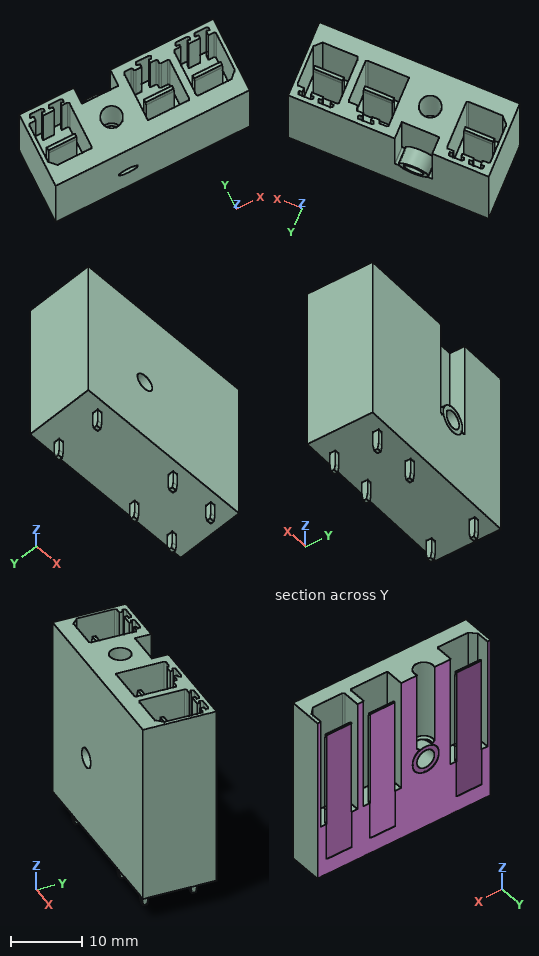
import cadquery as cq

LENGTH = 30.45
DEPTH = 11.4
TOTAL_HEIGHT = 31.8
PIN_LENGTH = 3.5
MID_Y = DEPTH / 2
FRONT_WALL = 2.55

PITCH = LENGTH / 4
LEFT_X, SLEEVE_X, MIDDLE_X, RIGHT_X = [PITCH * (station + 0.5) for station in range(4)]

CAVITY_FLOOR_Z = 12.72
CAVITY_DEPTH = TOTAL_HEIGHT - CAVITY_FLOOR_Z
OUTER_CAVITY_HALF_WIDTH = 3.2
MIDDLE_CAVITY_HALF_WIDTH = 3.28
CAVITY_CORNER_CHAMFER = 1.0
CAVITY_CORNER_RADIUS = 0.25
OUTER_BACK_Y = 9.57
KEY_LAND_Y = 9.73
INNER_BACK_Y = 9.85
MIDDLE_STEP_Y = 9.0
MIDDLE_LEFT_STEP_X = -1.88
MIDDLE_RIGHT_STEP_X = 1.78

KEY_UNDERSIDE_Y = 10.2
KEY_TOP_Y = 10.72
OUTER_FLANGE_RADIUS = 0.3
MIDDLE_FLANGE_RADIUS = 0.22
KEY_OFFSET = 1.5
OUTER_NECK_WIDTH = 1.25
OUTER_FLANGE_WIDTH = 2.23
MIDDLE_NECK_WIDTH = 1.35
MIDDLE_FLANGE_WIDTH = 2.4

SLEEVE_Z = 15.85
SLEEVE_DIAMETER = 4.55
SLEEVE_BORE = 3.0
SLEEVE_CREST_Z = SLEEVE_Z + SLEEVE_DIAMETER / 2
NOTCH_WIDTH = 5.7
NOTCH_DEPTH = 2.58
NOTCH_GROOVE_WIDTH = 0.65
NOTCH_GROOVE_DROP = 0.48

ACCESS_Y = 5.25
ACCESS_DIAMETER = 3.18
ACCESS_END_DIAMETER = 2.5
ACCESS_CONE_HEIGHT = (ACCESS_DIAMETER - ACCESS_END_DIAMETER) / 2

SHEET = 0.8
PIN_ROW_SPACING = 7.5
PIN_WIDTH = 1.0
PIN_TIP_WIDTH = 0.6
PIN_TAPER_HEIGHT = 1.0
CROSSBAR_BOTTOM_Z = 6.35
CROSSBAR_TOP_Z = 10.18
BLADE_WIDTH = 4.4
BLADE_TOP_Z = 28.85
BLADE_BEVEL = 0.15
BLADE_BEVEL_HEIGHT = 1.0
ARM_FILLET = 0.75


def box(x_min, x_max, y_min, y_max, z_min, z_max):
    """Axis-aligned block between the given limits."""
    size = (x_max - x_min, y_max - y_min, z_max - z_min)
    return cq.Workplane("XY").box(*size, centered=False).translate((x_min, y_min, z_min))


def cylinder_along_y(diameter, y_start, y_end):
    """Cylinder on the sleeve axis."""
    plane = cq.Workplane("XZ", origin=(SLEEVE_X, y_start, SLEEVE_Z))
    return plane.circle(diameter / 2).extrude(y_start - y_end)



def cavity_prism(outline):
    """Prism from the cavity floor to the top of the housing."""
    plane = cq.Workplane("XY", origin=(0, 0, CAVITY_FLOOR_Z))
    return plane.polyline(outline).close().extrude(CAVITY_DEPTH)


def vertical_edge_at(corner):
    """Selector of the cavity edge that rises from an outline corner."""
    return cq.selectors.NearestToPointSelector((*corner, CAVITY_FLOOR_Z + CAVITY_DEPTH / 2))


def key_neck(center_x, width):
    """Neck that joins a keyway to its cavity."""
    half = width / 2
    return box(center_x - half, center_x + half, MID_Y, KEY_TOP_Y, CAVITY_FLOOR_Z, TOTAL_HEIGHT)


def key_flange(center_x, width, rounded_edges, radius):
    """Wide part of a keyway, with the selected vertical edges rounded."""
    half = width / 2
    flange = box(center_x - half, center_x + half, KEY_UNDERSIDE_Y, KEY_TOP_Y, CAVITY_FLOOR_Z, TOTAL_HEIGHT)
    return flange.edges(rounded_edges).fillet(radius)


def outer_cavity():
    """Cavity for the left end: chamfered outer corner and two keyways."""
    half = OUTER_CAVITY_HALF_WIDTH
    outline = [
        (-half + CAVITY_CORNER_CHAMFER, FRONT_WALL),
        (half, FRONT_WALL),
        (half, INNER_BACK_Y),
        (KEY_OFFSET, INNER_BACK_Y),
        (KEY_OFFSET, KEY_LAND_Y),
        (-KEY_OFFSET, KEY_LAND_Y),
        (-KEY_OFFSET, OUTER_BACK_Y),
        (-half, OUTER_BACK_Y),
        (-half, FRONT_WALL + CAVITY_CORNER_CHAMFER),
    ]
    cavity = cavity_prism(outline)
    for corner in ((half, FRONT_WALL), (half, INNER_BACK_Y), (-half, OUTER_BACK_Y)):
        cavity = cavity.edges(vertical_edge_at(corner)).fillet(CAVITY_CORNER_RADIUS)
    for key_x in (-KEY_OFFSET, KEY_OFFSET):
        cavity = cavity.union(key_neck(key_x, OUTER_NECK_WIDTH))
        cavity = cavity.union(key_flange(key_x, OUTER_FLANGE_WIDTH, "|Z and >Y", OUTER_FLANGE_RADIUS))
    return cavity


def middle_cavity():
    """Cavity with a back wall stepped on both sides of one keyway."""
    half = MIDDLE_CAVITY_HALF_WIDTH
    front_left = (-half, FRONT_WALL)
    rounded_corners = [
        (half, FRONT_WALL),
        (half, MIDDLE_STEP_Y),
        (MIDDLE_RIGHT_STEP_X, MIDDLE_STEP_Y),
        (MIDDLE_RIGHT_STEP_X, KEY_LAND_Y),
        (MIDDLE_LEFT_STEP_X, KEY_LAND_Y),
        (MIDDLE_LEFT_STEP_X, KEY_UNDERSIDE_Y),
        (-half, KEY_UNDERSIDE_Y),
    ]
    cavity = cavity_prism([front_left, *rounded_corners])
    for corner in rounded_corners:
        cavity = cavity.edges(vertical_edge_at(corner)).fillet(CAVITY_CORNER_RADIUS)
    cavity = cavity.union(key_neck(0, MIDDLE_NECK_WIDTH))
    return cavity.union(key_flange(0, MIDDLE_FLANGE_WIDTH, "|Z", MIDDLE_FLANGE_RADIUS))



def sleeve_notch():
    """Notch in the back, open at the top, that runs down past both sides of the sleeve."""
    half = NOTCH_WIDTH / 2
    y_start = DEPTH - NOTCH_DEPTH
    groove_radius = NOTCH_GROOVE_WIDTH / 2
    groove_z = SLEEVE_Z - NOTCH_GROOVE_DROP
    notch = box(SLEEVE_X - half, SLEEVE_X + half, y_start, DEPTH, SLEEVE_Z, TOTAL_HEIGHT)
    for side in (-1, 1):
        groove_x = SLEEVE_X + side * (half - groove_radius)
        shaft = box(
            groove_x - groove_radius, groove_x + groove_radius,
            y_start, DEPTH, groove_z, SLEEVE_Z,
        )
        plane = cq.Workplane("XZ", origin=(groove_x, y_start, groove_z))
        groove_bottom = plane.circle(groove_radius).extrude(-NOTCH_DEPTH)
        notch = notch.union(shaft).union(groove_bottom)
    return notch


def access_hole():
    """Vertical hole narrowing in a cone just above the sleeve."""
    cone_top_z = SLEEVE_CREST_Z + ACCESS_CONE_HEIGHT
    half_profile = [
        (0, SLEEVE_Z),
        (ACCESS_END_DIAMETER / 2, SLEEVE_Z),
        (ACCESS_END_DIAMETER / 2, SLEEVE_CREST_Z),
        (ACCESS_DIAMETER / 2, cone_top_z),
        (ACCESS_DIAMETER / 2, TOTAL_HEIGHT),
        (0, TOTAL_HEIGHT),
    ]
    plane = cq.Workplane("XZ", origin=(SLEEVE_X, ACCESS_Y, 0))
    return plane.polyline(half_profile).close().revolve(360, (0, 0, 0), (0, 1, 0))



def make_sleeve():
    """Tube along Y, flush with the back of the housing."""
    tube = cylinder_along_y(SLEEVE_DIAMETER, FRONT_WALL, DEPTH)
    return tube.cut(cylinder_along_y(SLEEVE_BORE, FRONT_WALL, DEPTH))


def contact_pin(center_y):
    """Solder pin with a tip tapered in Y."""
    outline = [
        (center_y - PIN_TIP_WIDTH / 2, 0),
        (center_y + PIN_TIP_WIDTH / 2, 0),
        (center_y + PIN_WIDTH / 2, PIN_TAPER_HEIGHT),
        (center_y + PIN_WIDTH / 2, CROSSBAR_TOP_Z),
        (center_y - PIN_WIDTH / 2, CROSSBAR_TOP_Z),
        (center_y - PIN_WIDTH / 2, PIN_TAPER_HEIGHT),
    ]
    return cq.Workplane("YZ").polyline(outline).close().extrude(SHEET / 2, both=True)


def contact_blade():
    """Flat blade with its top edge bevelled on both faces."""
    half = SHEET / 2
    shoulder_z = BLADE_TOP_Z - BLADE_BEVEL_HEIGHT
    outline = [
        (MID_Y - half, CROSSBAR_BOTTOM_Z),
        (MID_Y + half, CROSSBAR_BOTTOM_Z),
        (MID_Y + half, shoulder_z),
        (MID_Y + half - BLADE_BEVEL, BLADE_TOP_Z),
        (MID_Y - half + BLADE_BEVEL, BLADE_TOP_Z),
        (MID_Y - half, shoulder_z),
    ]
    return cq.Workplane("YZ").polyline(outline).close().extrude(BLADE_WIDTH / 2, both=True)


def contact_arm():
    """Arm level with the cavity floor, from the front wall to the blade, flared on its right side."""
    half = SHEET / 2
    blade_face_y = MID_Y - half
    plane = cq.Workplane("XY", origin=(0, 0, CROSSBAR_BOTTOM_Z))
    outline = (
        plane.moveTo(-half, FRONT_WALL)
        .lineTo(half, FRONT_WALL)
        .lineTo(half, blade_face_y - ARM_FILLET)
        .radiusArc((half + ARM_FILLET, blade_face_y), ARM_FILLET)
        .lineTo(-half, blade_face_y)
        .close()
    )
    return outline.extrude(CAVITY_FLOOR_Z - CROSSBAR_BOTTOM_Z)


def make_contact(center_x, has_arm):
    """Contact with one blade and two solder pins joined by a crossbar."""
    row_half = PIN_ROW_SPACING / 2
    bar_half = row_half + PIN_WIDTH / 2
    contact = box(
        -SHEET / 2, SHEET / 2, MID_Y - bar_half, MID_Y + bar_half,
        CROSSBAR_BOTTOM_Z, CROSSBAR_TOP_Z,
    )
    for row_y in (MID_Y - row_half, MID_Y + row_half):
        contact = contact.union(contact_pin(row_y))
    contact = contact.union(contact_blade())
    if has_arm:
        contact = contact.union(contact_arm())
    return contact.translate((center_x, 0, 0))


def make_housing(inserts):
    """Block with cavities and sleeve openings, recessed to fit the inserted bodies."""
    housing = box(0, LENGTH, 0, DEPTH, PIN_LENGTH, TOTAL_HEIGHT)
    end_cavity = outer_cavity()
    housing = housing.cut(end_cavity.translate((LEFT_X, 0, 0)))
    housing = housing.cut(end_cavity.mirror("YZ").translate((RIGHT_X, 0, 0)))
    housing = housing.cut(middle_cavity().translate((MIDDLE_X, 0, 0)))
    housing = housing.cut(cylinder_along_y(SLEEVE_BORE, 0, DEPTH))
    housing = housing.cut(sleeve_notch())
    housing = housing.cut(access_hole())
    for insert in inserts:
        housing = housing.cut(insert)
    return housing


sleeve = make_sleeve()
contacts = []
for contact_x, has_arm in ((LEFT_X, True), (MIDDLE_X, False), (RIGHT_X, True)):
    contacts.append(make_contact(contact_x, has_arm))
housing = make_housing([sleeve, *contacts])

result = cq.Compound.makeCompound([
    housing.solids().val(),
    sleeve.solids().val(),
    *[contact.solids().val() for contact in contacts],
])